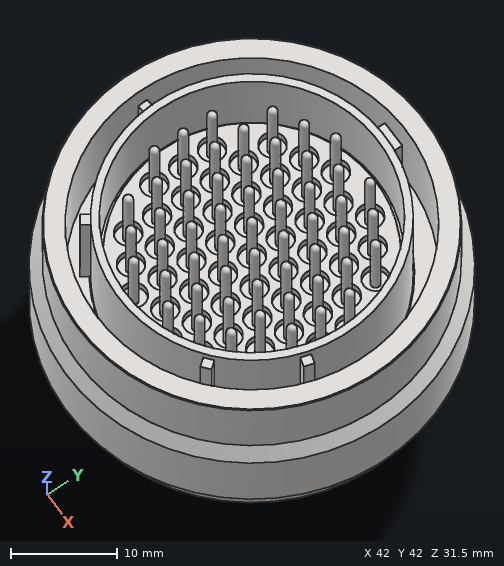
import cadquery as cq
import math

rear_tube_top = 6.35
thread_collar_top = 7.0
ring_bottom = 11.12
ring_top = 30.12
groove_floor = 20.09
insert_face = 23.6
shell_top = 31.52
key_top = 30.75
pin_tip = 30.95

rear_tube_radius = 14.0
thread_collar_radius = 15.65
thread_radius = 16.5
ring_radius = 19.75
grip_radius = 21.0
groove_radius = 17.6
shell_radius = 15.2
cavity_radius = 14.38
insert_radius = 14.07

shell_gap_radius = 15.33
gap_depth = 0.5

grip_bottom = 13.06
grip_top = 22.84
grip_bevel_height = 1.19
ring_edge_break = 0.1

thread_pitch = 25.4 / 18
thread_depth = 0.62
thread_root_flat = 0.08
thread_flank_angle = math.radians(30)
groove_height_at_x = 9.85
groove_turns_below = 3
groove_turns_above = 2
cutter_overhang = 0.3

key_tip_radius = 16.2
key_root_radius = 14.8
main_key_angle = 90
main_key_width = 2.9
small_key_angles = (185, 235, 310, 345)
small_key_width = 1.1

pin_pitch = 3.3
pin_radius = 0.5
pins_in_column = (7, 8, 7, 6, 3)
column_spacing = pin_pitch * math.sqrt(3) / 2
recess_radius = 1.36
recess_depth = 1.0


def cylinder(radius, bottom, top):
    return cq.Workplane("XY").workplane(offset=bottom).circle(radius).extrude(top - bottom)


def revolve_profile(points):
    """Turn a closed (radius, height) outline about the connector axis."""
    return cq.Workplane("XZ").polyline(points).close().revolve(360, (0, 0, 0), (0, 1, 0))


def make_rear_body():
    """Plain rear tube and the barrel whose lower edge has a 45 degree bevel down to a collar."""
    bevel_top = thread_collar_top + thread_radius - thread_collar_radius
    return revolve_profile([
        (0, 0),
        (rear_tube_radius, 0),
        (rear_tube_radius, rear_tube_top),
        (thread_collar_radius, rear_tube_top),
        (thread_collar_radius, thread_collar_top),
        (thread_radius, bevel_top),
        (thread_radius, groove_floor),
        (0, groove_floor),
    ])


def make_thread_cutter():
    """V-shaped helical cutter with a narrow root flat, wider than the barrel it cuts."""
    root_radius = thread_radius - thread_depth
    mouth_radius = thread_radius + cutter_overhang
    root_half = thread_root_flat / 2
    mouth_half = root_half + (mouth_radius - root_radius) * math.tan(thread_flank_angle)
    start_height = groove_height_at_x - groove_turns_below * thread_pitch
    helix_height = (groove_turns_below + groove_turns_above) * thread_pitch
    helix = cq.Wire.makeHelix(thread_pitch, helix_height, root_radius, cq.Vector(0, 0, start_height))
    return (
        cq.Workplane("XZ")
        .polyline([
            (root_radius, start_height - root_half),
            (mouth_radius, start_height - mouth_half),
            (mouth_radius, start_height + mouth_half),
            (root_radius, start_height + root_half),
        ])
        .close()
        .sweep(cq.Workplane(obj=helix), isFrenet=True)
    )


def make_coupling_ring():
    """Outer ring with a raised grip band, solid up to the floor of the annular groove."""
    return revolve_profile([
        (0, ring_bottom),
        (ring_radius, ring_bottom),
        (ring_radius, grip_bottom),
        (grip_radius, grip_bottom + grip_bevel_height),
        (grip_radius, grip_top - grip_bevel_height),
        (ring_radius, grip_top),
        (ring_radius, ring_top - ring_edge_break),
        (ring_radius - ring_edge_break, ring_top),
        (groove_radius, ring_top),
        (groove_radius, groove_floor),
        (0, groove_floor),
    ])


def make_shell():
    """Inner shell, open at the top, holding the insert inside a narrow annular gap."""
    return revolve_profile([
        (0, groove_floor),
        (shell_radius, groove_floor),
        (shell_radius, shell_top),
        (cavity_radius, shell_top),
        (cavity_radius, insert_face - gap_depth),
        (insert_radius, insert_face - gap_depth),
        (insert_radius, insert_face),
        (0, insert_face),
    ])


def make_shell_gap():
    """Thin tube of space sunk into the groove floor around the shell."""
    bottom = groove_floor - gap_depth
    return cylinder(shell_gap_radius, bottom, groove_floor).cut(cylinder(shell_radius, bottom, groove_floor))


def make_key(angle, width):
    """Radial bar along the outside of the shell, standing on the groove floor."""
    length = key_tip_radius - key_root_radius
    height = key_top - groove_floor
    return (
        cq.Workplane("XY")
        .box(length, width, height, centered=(False, True, False))
        .translate((key_root_radius, 0, groove_floor))
        .rotate((0, 0, 0), (0, 0, 1), angle)
    )


def pin_positions():
    positions = []
    last_column = len(pins_in_column) - 1
    for column in range(-last_column, last_column + 1):
        count = pins_in_column[abs(column)]
        for row in range(count):
            positions.append((column * column_spacing, (row - (count - 1) / 2) * pin_pitch))
    return positions


def make_recesses():
    """Round pockets in the insert face, one around each pin."""
    pocket = cylinder(recess_radius, insert_face - recess_depth, insert_face).val()
    return cq.Workplane("XY").pushPoints(pin_positions()).eachpoint(lambda place: pocket.moved(place))


def make_pins():
    """Round pins with hemispherical tips, standing on the recess floors."""
    pin = cylinder(pin_radius, insert_face - recess_depth, pin_tip - pin_radius)
    tip = cq.Workplane("XY").sphere(pin_radius).translate((0, 0, pin_tip - pin_radius))
    pin = pin.union(tip).val()
    return cq.Workplane("XY").pushPoints(pin_positions()).eachpoint(lambda place: pin.moved(place))


body = make_rear_body().cut(make_thread_cutter())
body = body.union(make_coupling_ring()).union(make_shell())
body = body.cut(make_shell_gap())
body = body.union(make_key(main_key_angle, main_key_width))
for key_angle in small_key_angles:
    body = body.union(make_key(key_angle, small_key_width))

result = body.cut(make_recesses()).union(make_pins())